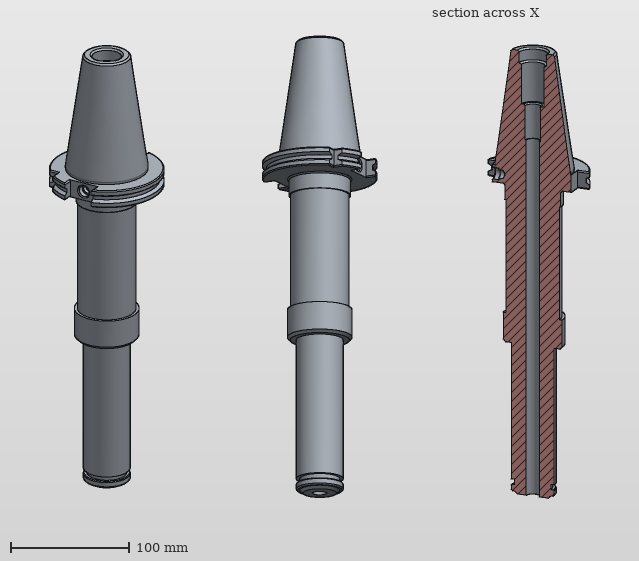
import cadquery as cq
import math

total_length = 395.5
taper_length = 103.0
taper_land = 2.0
flange_thickness = 16.0
gauge_z = total_length - taper_length
flange_top_z = gauge_z - taper_land
flange_bottom_z = flange_top_z - flange_thickness
flange_mid_z = (flange_top_z + flange_bottom_z) / 2
collar_bottom_z = 260.7
ring_top_z = 160.5
ring_bottom_z = 134.0
nut_groove_top_z = 12.5
nut_groove_bottom_z = 8.5
nut_ridge_bottom_z = 2.5

taper_ratio = 7 / 24
taper_small_diameter = 40.5
taper_large_diameter = taper_small_diameter + taper_length * taper_ratio
flange_diameter = 97.5
collar_diameter = 52.2
shank_diameter = 50.0
ring_diameter = 55.0
nose_diameter = 40.0
nut_groove_diameter = 34.0
nut_step_diameter = 34.0
nut_face_diameter = 28.5

taper_tip_chamfer = 1.5
flange_chamfer = 1.0
cutout_chamfer = 1.0
collar_relief = 1.0
ring_chamfer = 2.5
nut_top_chamfer = 0.8
nut_bottom_chamfer = 1.0

groove_mouth_width = 7.0
groove_floor_width = 3.0
groove_depth = 3.0

slot_width = 25.7
back_slot_floor = 35.5
front_slot_floor = 37.5
notch_x = -30.5
notch_y = -30.0

screw_hole_diameter = 10.0
screw_pilot_diameter = 7.0
screw_thread_depth = 6.0
screw_chamfer_diameter = 12.0
screw_hole_depth = 10.0

drill_point_slope = math.tan(math.radians(30))

bore_mouth_diameter = 28.0
counterbore_diameter = 25.0
counterbore_depth = 11.0
thread_diameter = 20.5
thread_depth = 47.5
step_mouth_diameter = 16.2
step_diameter = 14.0
step_depth = 79.0
through_diameter = 12.0


def revolve(points):
    """Solid of revolution about Z from (radius, z) points."""
    return cq.Workplane("XZ").polyline(points).close().revolve(360, (0, 0, 0), (0, 1, 0))


def make_body():
    """Taper, flange blank, shank, ring and nose as one turned profile."""
    tip_z = total_length - taper_tip_chamfer
    tip_radius = taper_small_diameter / 2 + taper_tip_chamfer * taper_ratio / 2
    taper_radius = taper_large_diameter / 2
    flange_radius = flange_diameter / 2
    collar_radius = collar_diameter / 2
    shank_radius = shank_diameter / 2
    ring_radius = ring_diameter / 2
    nose_radius = nose_diameter / 2
    nut_groove_radius = nut_groove_diameter / 2
    return revolve([
        (0, total_length),
        (tip_radius - taper_tip_chamfer, total_length),
        (tip_radius, tip_z),
        (taper_radius, gauge_z),
        (taper_radius, flange_top_z),
        (flange_radius - flange_chamfer, flange_top_z),
        (flange_radius, flange_top_z - flange_chamfer),
        (flange_radius, flange_mid_z + groove_mouth_width / 2),
        (flange_radius - groove_depth, flange_mid_z + groove_floor_width / 2),
        (flange_radius - groove_depth, flange_mid_z - groove_floor_width / 2),
        (flange_radius, flange_mid_z - groove_mouth_width / 2),
        (flange_radius, flange_bottom_z + flange_chamfer),
        (flange_radius - flange_chamfer, flange_bottom_z),
        (collar_radius + collar_relief, flange_bottom_z),
        (collar_radius, flange_bottom_z - collar_relief),
        (collar_radius, collar_bottom_z),
        (shank_radius, collar_bottom_z),
        (shank_radius, ring_top_z),
        (ring_radius, ring_top_z),
        (ring_radius, ring_bottom_z + ring_chamfer),
        (ring_radius - ring_chamfer, ring_bottom_z),
        (nose_radius, ring_bottom_z),
        (nose_radius, nut_groove_top_z),
        (nut_groove_radius, nut_groove_top_z),
        (nut_groove_radius, nut_groove_bottom_z),
        (nose_radius - nut_top_chamfer, nut_groove_bottom_z),
        (nose_radius, nut_groove_bottom_z - nut_top_chamfer),
        (nose_radius, nut_ridge_bottom_z + nut_bottom_chamfer),
        (nose_radius - nut_bottom_chamfer, nut_ridge_bottom_z),
        (nut_step_diameter / 2, nut_ridge_bottom_z),
        (nut_face_diameter / 2, 0),
        (0, 0),
    ])


def make_bore():
    """Stepped bore that runs the whole length."""
    mouth_radius = bore_mouth_diameter / 2
    counterbore_radius = counterbore_diameter / 2
    thread_radius = thread_diameter / 2
    step_mouth_radius = step_mouth_diameter / 2
    step_radius = step_diameter / 2
    through_radius = through_diameter / 2
    mouth_chamfer = mouth_radius - counterbore_radius
    counterbore_z = total_length - counterbore_depth
    thread_top_z = counterbore_z - (counterbore_radius - thread_radius) * drill_point_slope
    thread_bottom_z = total_length - thread_depth
    return revolve([
        (0, total_length),
        (mouth_radius, total_length),
        (counterbore_radius, total_length - mouth_chamfer),
        (counterbore_radius, counterbore_z),
        (thread_radius, thread_top_z),
        (thread_radius, thread_bottom_z),
        (step_mouth_radius, thread_bottom_z),
        (step_radius, thread_bottom_z - step_mouth_radius + step_radius),
        (step_radius, total_length - step_depth),
        (through_radius, total_length - step_depth),
        (through_radius, 0),
        (0, 0),
    ])


def flange_cutter(x_min, x_max, y_min, y_max):
    """Block that cuts through the full flange thickness."""
    block = cq.Workplane("XY").box(x_max - x_min, y_max - y_min, flange_thickness, centered=False)
    return block.translate((x_min, y_min, flange_bottom_z))


def make_screw_hole():
    """Countersunk stepped hole with a drill point in the floor of the front slot, along Y."""
    hole_radius = screw_hole_diameter / 2
    pilot_radius = screw_pilot_diameter / 2
    mouth_radius = screw_chamfer_diameter / 2
    floor = cq.Plane((0, -front_slot_floor, flange_mid_z), (1, 0, 0), (0, -1, 0))
    return (
        cq.Workplane("XZ")
        .polyline([
            (0, 0),
            (mouth_radius, 0),
            (hole_radius, hole_radius - mouth_radius),
            (hole_radius, -screw_thread_depth),
            (pilot_radius, -screw_thread_depth),
            (pilot_radius, -screw_hole_depth),
            (0, -screw_hole_depth - pilot_radius * drill_point_slope),
        ])
        .close()
        .revolve(360, (0, 0, 0), (0, 1, 0))
        .val()
        .moved(cq.Location(floor))
    )


reach = flange_diameter / 2 + 4
half_slot = slot_width / 2

result = make_body()
result = result.cut(flange_cutter(-half_slot, half_slot, back_slot_floor, reach))
result = result.cut(flange_cutter(-half_slot, half_slot, -reach, -front_slot_floor))
result = result.cut(flange_cutter(-reach, notch_x, -reach, notch_y))

margin = 0.5
y_wall_edges = cq.selectors.StringSyntaxSelector("|Y")
notch_wall_edges = cq.selectors.BoxSelector(
    (-reach, notch_y - margin, flange_bottom_z - margin),
    (notch_x, notch_y + margin, flange_top_z + margin),
) & cq.selectors.StringSyntaxSelector("|X")
result = result.edges(y_wall_edges + notch_wall_edges).chamfer(cutout_chamfer)

result = result.cut(make_bore())
result = result.cut(make_screw_hole())